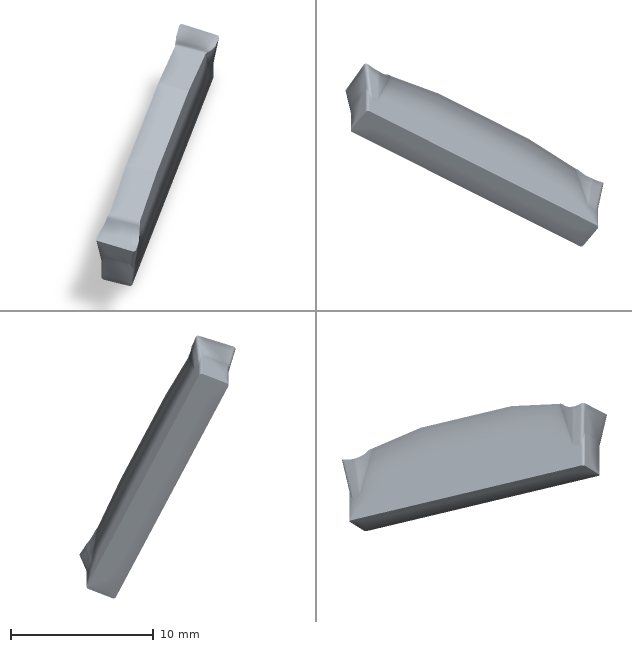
import cadquery as cq
import math


body_width = 2.25
body_length = 19.44
body_height = 5.78
body_corner_radius = 0.2
half_body_width = body_width / 2
half_body_length = body_length / 2

flat_half_length = 3.75
ramp_angle = 10
ramp_end_y = 7.75
shoulder_end_y = 8.0
shoulder_end_z = 4.97
groove_end_y = 9.54
land_tip_y = 10.096
land_tip_z = 4.62
land_angle = 11.5
land_slope = math.tan(math.radians(land_angle))

edge_half_width = 1.509
edge_lead = 0.067
nose_radius = 0.2
front_foot_z = 2.56
side_relief = 0.055
side_draft = 0.113
edge_ref_y = 10.0
break_low_y = 8.79
break_low_z = 1.85
rear_high_y = 7.70
break_lean = 0.067
rear_slope = 0.295
head_low_z = 1.0
head_high_z = 5.3
embed_half_width = 1.0

ramp_end_z = body_height - (ramp_end_y - flat_half_length) * math.tan(math.radians(ramp_angle))
rear_lean = (rear_high_y - break_low_y) / (ramp_end_z - break_low_z)


def side_half_width(y, z):
    """Half width of the drafted, relieved head side."""
    return edge_half_width + side_relief * (y - edge_ref_y) + side_draft * (z - land_tip_z)


def front_y(x, z):
    """End relief: skewed at the cutting edge, square to Y at its foot.

    The head modelled here is at +Y, with its leading corner at -X.
    """
    corner_lift = nose_radius * edge_lead
    edge_y = land_tip_y + corner_lift - edge_lead * (x + edge_half_width)
    rise = (z - front_foot_z) / (land_tip_z - front_foot_z)
    return half_body_length + (edge_y - half_body_length) * rise


def front_corner(side, z):
    """Sharp corner of the end relief and a head side (side is -1 or +1)."""
    lead_at_z = front_y(1, z) - front_y(0, z)
    width_at_zero = side_half_width(front_y(0, z), z)
    half_width = width_at_zero / (1 - side * side_relief * lead_at_z)
    x = side * half_width
    return cq.Vector(x, front_y(x, z), z)


def rounded_corner(before, corner, after):
    """Start, middle and end of the nose arc that replaces a sharp corner."""
    to_before = (before - corner).normalized()
    to_after = (after - corner).normalized()
    half_angle = to_before.getAngle(to_after) / 2
    setback = nose_radius / math.tan(half_angle)
    bisector = (to_before + to_after).normalized()
    middle = corner + bisector * (nose_radius / math.sin(half_angle) - nose_radius)
    return corner + to_before * setback, middle, corner + to_after * setback


def outline_points(z):
    """Corner points of the +Y head outline at height z, counting from the rear left."""
    break_y = break_low_y + break_lean * (z - break_low_z)
    break_half_width = side_half_width(break_y, z)
    rear_y = rear_high_y + rear_lean * (z - ramp_end_z)
    rear_y -= (half_body_width - embed_half_width) / rear_slope

    rear_left = cq.Vector(-embed_half_width, rear_y, z)
    rear_right = cq.Vector(embed_half_width, rear_y, z)
    break_left = cq.Vector(-break_half_width, break_y, z)
    break_right = cq.Vector(break_half_width, break_y, z)
    front_left = front_corner(-1, z)
    front_right = front_corner(1, z)
    left_arc = rounded_corner(break_left, front_left, front_right)
    right_arc = rounded_corner(front_left, front_right, break_right)
    return [rear_left, break_left, *left_arc, *right_arc, break_right, rear_right]


def head_section(z):
    """Closed outline at height z, on straight lines through the foot and edge outlines."""
    share = (z - front_foot_z) / (land_tip_z - front_foot_z)
    outlines = zip(outline_points(front_foot_z), outline_points(land_tip_z))
    points = [foot + (edge - foot) * share for foot, edge in outlines]
    rear_left, break_left, *arc_points, break_right, rear_right = points
    left_arc = arc_points[:3]
    right_arc = arc_points[3:]

    return cq.Wire.assembleEdges([
        cq.Edge.makeLine(rear_left, break_left),
        cq.Edge.makeLine(break_left, left_arc[0]),
        cq.Edge.makeThreePointArc(*left_arc),
        cq.Edge.makeLine(left_arc[2], right_arc[0]),
        cq.Edge.makeThreePointArc(*right_arc),
        cq.Edge.makeLine(right_arc[2], break_right),
        cq.Edge.makeLine(break_right, rear_right),
        cq.Edge.makeLine(rear_right, rear_left),
    ])


def make_head():
    sections = [head_section(head_low_z), head_section(head_high_z)]
    return cq.Workplane(obj=cq.Solid.makeLoft(sections, True))


def make_body():
    return (
        cq.Workplane("XY")
        .rect(body_width, body_length)
        .extrude(body_height)
        .edges("|Z")
        .fillet(body_corner_radius)
    )


def groove_middle(start_y, start_z, end_y, end_z):
    """Middle of the groove arc that runs tangentially into the rising land."""
    chord = math.hypot(end_y - start_y, end_z - start_z)
    chord_angle = math.atan2(end_z - start_z, end_y - start_y)
    half_sweep = math.radians(land_angle) - chord_angle
    sagitta = chord / 2 * math.tan(half_sweep / 2)
    middle_y = (start_y + end_y) / 2 + sagitta * math.sin(chord_angle)
    middle_z = (start_z + end_z) / 2 - sagitta * math.cos(chord_angle)
    return middle_y, middle_z


def make_top_envelope():
    """Everything below the top profile, wider and longer than the part."""
    margin = 1.0
    groove_end_z = land_tip_z - (land_tip_y - groove_end_y) * land_slope
    groove_end = (groove_end_y, groove_end_z)
    outer_y = land_tip_y + margin
    outer_z = land_tip_z + margin * land_slope
    half_envelope = (
        cq.Workplane("YZ")
        .lineTo(0, body_height)
        .lineTo(flat_half_length, body_height)
        .lineTo(ramp_end_y, ramp_end_z)
        .tangentArcPoint((shoulder_end_y, shoulder_end_z), relative=False)
        .threePointArc(groove_middle(shoulder_end_y, shoulder_end_z, *groove_end), groove_end)
        .lineTo(outer_y, outer_z)
        .lineTo(outer_y, 0)
        .close()
        .extrude(edge_half_width + margin, both=True)
    )
    return half_envelope.union(half_envelope.mirror("XZ"))


head = make_head()
opposite_head = head.rotate((0, 0, 0), (0, 0, 1), 180)
blank = make_body().union(head).union(opposite_head)
result = blank.intersect(make_top_envelope())